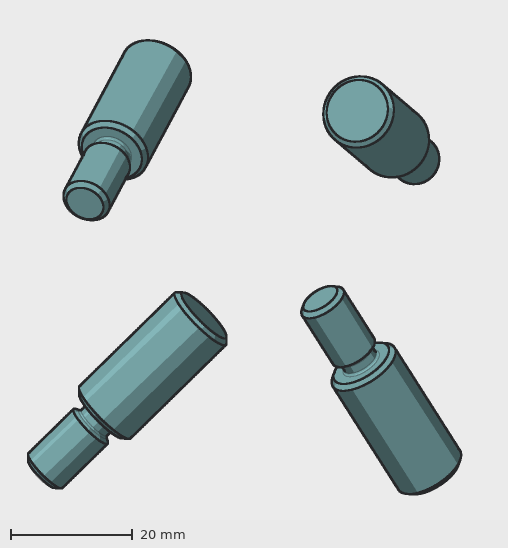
import cadquery as cq
import math

body_diameter = 12.0
body_length = 24.0
spigot_diameter = 8.0
spigot_length = 14.0
edge_chamfer = 0.8

neck_diameter = 6.0
neck_length = 2.0
flank_angle = 60.0
groove_fillet = 0.4

body_radius = body_diameter / 2
spigot_radius = spigot_diameter / 2
neck_radius = neck_diameter / 2
flank_length = (spigot_radius - neck_radius) / math.tan(math.radians(flank_angle))


def turn_pin():
    """Revolve the sharp-cornered half section, with X as the radius and Y as the axis."""
    half_section = (
        cq.Workplane("XY")
        .moveTo(0, -spigot_length)
        .lineTo(spigot_radius - edge_chamfer, -spigot_length)
        .lineTo(spigot_radius, -spigot_length + edge_chamfer)
        .lineTo(spigot_radius, -neck_length - flank_length)
        .lineTo(neck_radius, -neck_length)
        .lineTo(neck_radius, 0)
        .lineTo(body_radius - edge_chamfer, 0)
        .lineTo(body_radius, edge_chamfer)
        .lineTo(body_radius, body_length - edge_chamfer)
        .lineTo(body_radius - edge_chamfer, body_length)
        .lineTo(0, body_length)
        .close()
    )
    return half_section.revolve(360, (0, 0, 0), (0, 1, 0))


def fillet_groove(pin):
    """Round both corners of the neck, which are the circles of smallest radius."""
    return pin.edges(cq.selectors.RadiusNthSelector(0)).fillet(groove_fillet)


result = fillet_groove(turn_pin())